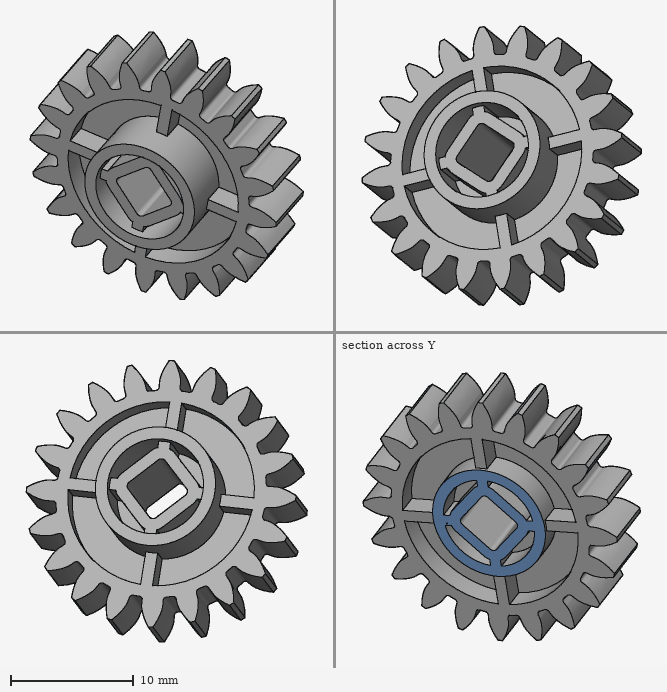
import cadquery as cq
import math

tooth_count = 20
pitch_diameter = 20.0
pressure_angle = math.radians(20)
tooth_tilt = -4.5
tip_radius = 11.23
dedendum_factor = 1.25
root_fillet = 0.3
flank_points = 7

module = pitch_diameter / tooth_count
pitch_radius = pitch_diameter / 2
base_radius = pitch_radius * math.cos(pressure_angle)
root_radius = pitch_radius - dedendum_factor * module

wall = module
gear_width = 5.0
hub_length = 10.0
socket_recess = 0.8
hub_diameter = 10.0
hub_bore_diameter = hub_diameter - 2 * wall
rim_inner_diameter = 15.5
spoke_tilt = -9.0
socket_side = 3.8
socket_corner_radius = 0.4


def polar(radius, angle):
    return radius * math.cos(angle), radius * math.sin(angle)


def turned(point, angle):
    """Rotate a 2D point about the gear axis."""
    x, y = point
    return x * math.cos(angle) - y * math.sin(angle), x * math.sin(angle) + y * math.cos(angle)


def involute(angle):
    return math.tan(angle) - angle


def tooth_half_angle(radius):
    """Half of the angle that a tooth spans at a radius on its involute flank."""
    half_at_pitch = math.pi / (2 * tooth_count)
    return half_at_pitch + involute(pressure_angle) - involute(math.acos(base_radius / radius))


def upper_flank():
    """Involute points from base circle to tip, for a tooth centred on the local x axis."""
    step = (tip_radius - base_radius) / (flank_points - 1)
    radii = [base_radius + i * step for i in range(flank_points)]
    return [polar(r, tooth_half_angle(r)) for r in radii]


def root_fillet_arc(half_width):
    """Arc from the straight lower flank to the root circle: start, middle and end points."""
    centre_y = half_width + root_fillet
    centre_x = math.sqrt((root_radius + root_fillet) ** 2 - centre_y ** 2)
    centre_angle = math.atan2(centre_y, centre_x)
    start_angle = -math.pi / 2
    end_angle = centre_angle - math.pi
    middle = polar(root_fillet, (start_angle + end_angle) / 2)
    return (
        (centre_x, half_width),
        (centre_x + middle[0], centre_y + middle[1]),
        polar(root_radius, centre_angle),
    )


def mirrored(points):
    """Mirror points in the local x axis and reverse their order."""
    return [(x, -y) for x, y in reversed(points)]


def sketch_plane(length):
    """XZ plane set back so that an extrusion of this length is centred on Y = 0."""
    return cq.Workplane("XZ", origin=(0, length / 2, 0))


def add_tooth(outline, angle):
    """Continue the outline over the tooth at this angle and along the root to the next tooth."""
    def place(points):
        return [turned(point, angle) for point in points]

    pitch_angle = 2 * math.pi / tooth_count
    flank = upper_flank()
    fillet = root_fillet_arc(flank[0][1])
    rising_fillet = place(mirrored(fillet))
    rising_flank = place((x, -y) for x, y in flank)
    falling_flank = place(reversed(flank))
    falling_fillet = place(fillet)
    return (
        outline
        .threePointArc(*rising_fillet[1:])
        .lineTo(*rising_flank[0])
        .spline(rising_flank[1:], includeCurrent=True)
        .threePointArc(polar(tip_radius, angle), falling_flank[0])
        .spline(falling_flank[1:], includeCurrent=True)
        .lineTo(*falling_fillet[0])
        .threePointArc(*falling_fillet[1:])
        .threePointArc(polar(root_radius, angle + pitch_angle / 2), turned(rising_fillet[0], pitch_angle))
    )


def toothed_blank():
    first_angle = math.radians(tooth_tilt)
    first_fillet = mirrored(root_fillet_arc(upper_flank()[0][1]))
    outline = sketch_plane(gear_width).moveTo(*turned(first_fillet[0], first_angle))
    for i in range(tooth_count):
        outline = add_tooth(outline, first_angle + i * 2 * math.pi / tooth_count)
    return outline.close().extrude(gear_width)


def cylinder(diameter, length):
    return sketch_plane(length).circle(diameter / 2).extrude(length)


def square_bar(side, corner_radius, length):
    """Square bar along Y whose corners point along the ribs."""
    bar = sketch_plane(length).rect(side, side).extrude(length)
    return bar.edges("|Y").fillet(corner_radius).rotate((0, 0, 0), (0, 1, 0), 45 - spoke_tilt)


def rib_cross(radius, length):
    """Four ribs in a cross, reaching from the centre to the given radius."""
    bar = sketch_plane(length).rect(2 * radius, wall).extrude(length)
    cross = bar.union(bar.rotate((0, 0, 0), (0, 1, 0), 90))
    return cross.rotate((0, 0, 0), (0, 1, 0), -spoke_tilt)


rim_middle_radius = (rim_inner_diameter / 2 + root_radius) / 2
hub_middle_diameter = hub_diameter - wall
socket_length = hub_length - 2 * socket_recess

rim = toothed_blank().cut(cylinder(rim_inner_diameter, gear_width))
web = cylinder(2 * rim_middle_radius, wall)
spokes = rib_cross(rim_middle_radius, gear_width)
hub = cylinder(hub_diameter, hub_length).cut(cylinder(hub_bore_diameter, hub_length))

socket = square_bar(socket_side + 2 * wall, socket_corner_radius + wall, socket_length)
socket_ribs = rib_cross(hub_middle_diameter / 2, socket_length)
socket_hole = square_bar(socket_side, socket_corner_radius, hub_length)

result = rim.union(web).union(spokes).union(hub).union(socket).union(socket_ribs).cut(socket_hole)